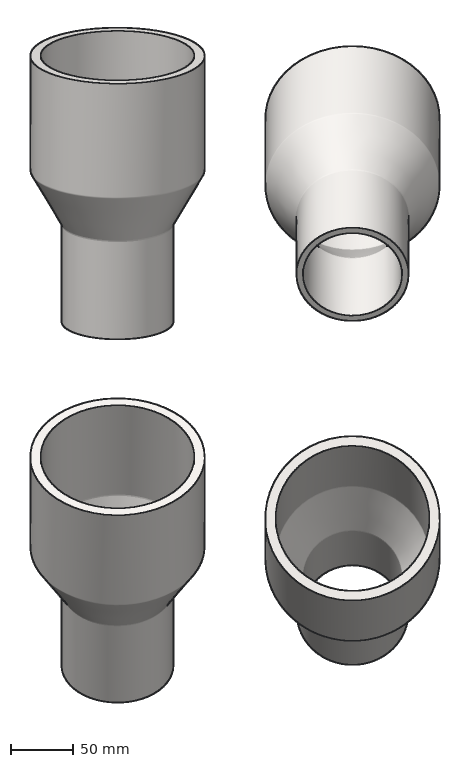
import cadquery as cq

total_height = 225.0
socket_diameter = 140.0
socket_bore = 123.3
spigot_diameter = 90.0
spigot_bore = 79.5

spigot_height = 83.2
socket_height = 97.0
blend_radius = 3.0

cone_top = total_height - socket_height
search_margin = 2.2


def stepped_solid(lower_diameter, upper_diameter):
    """Solid of revolution: lower cylinder, cone and upper cylinder with rounded junctions."""
    lower_radius = lower_diameter / 2
    upper_radius = upper_diameter / 2
    profile = (
        cq.Workplane("XZ")
        .moveTo(0, 0)
        .lineTo(lower_radius, 0)
        .lineTo(lower_radius, spigot_height)
        .lineTo(upper_radius, cone_top)
        .lineTo(upper_radius, total_height)
        .lineTo(0, total_height)
        .close()
    )
    body = profile.revolve(360, (0, 0, 0), (0, 1, 0))
    junctions = cq.selectors.BoxSelector(
        (-upper_radius, -upper_radius, spigot_height - search_margin),
        (upper_radius, upper_radius, cone_top + search_margin),
        boundingbox=False,
    )
    return body.edges("%CIRCLE").edges(junctions).fillet(blend_radius)


outside = stepped_solid(spigot_diameter, socket_diameter)
bore = stepped_solid(spigot_bore, socket_bore)

result = outside.cut(bore)